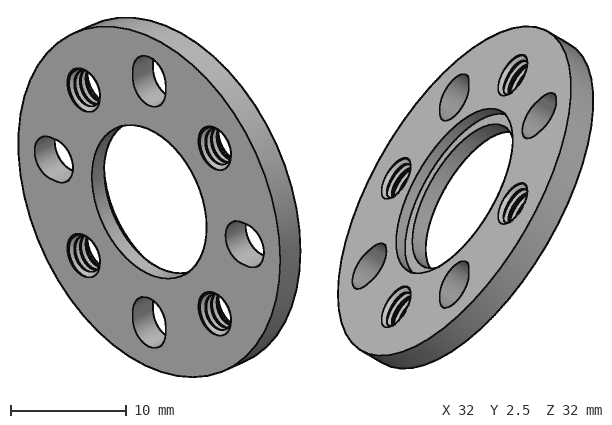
import cadquery as cq
import math

disc_diameter = 32.0
disc_thickness = 2.5
bore_diameter = 14.0

recess_diameter = 16.0
recess_depth = 1.0

thread_diameter = 4.0
thread_pitch = 0.7
thread_start = 0.1
tap_diameter = 3.24
crest_width = thread_pitch / 4
root_width = thread_pitch / 8
tap_square_side = 16.0

slot_width = 4.0
slot_inner_radius = tap_square_side / math.sqrt(2)
slot_outer_radius = 12.0
slot_count = 4


def make_disc():
    ring = cq.Workplane("XZ").circle(disc_diameter / 2).circle(bore_diameter / 2)
    return ring.extrude(-disc_thickness)


def make_recess():
    floor = cq.Workplane("XZ", origin=(0, disc_thickness - recess_depth, 0))
    return floor.circle(recess_diameter / 2).extrude(-recess_depth)


def make_slots():
    length = slot_outer_radius - slot_inner_radius + slot_width
    middle_radius = (slot_inner_radius + slot_outer_radius) / 2
    slots = cq.Workplane("XZ").polarArray(middle_radius, 0, 360, slot_count)
    return slots.slot2D(length, slot_width).extrude(-disc_thickness)


def make_helix_turn(radius, height):
    """One right-handed turn around Z, starting at the given height."""
    helix = cq.Wire.makeHelix(thread_pitch, thread_pitch, radius)
    return helix.translate(cq.Vector(0, 0, height))


def make_thread_turn(tooth, base):
    """Faces swept in one turn by the tooth outline, given as (radius, height) points."""
    helices = [make_helix_turn(radius, base + height) for radius, height in tooth]
    return [cq.Face.makeRuledSurface(low, high) for low, high in zip(helices, helices[1:])]


def make_end_ramp(radius, base):
    """Spiral ramp of one turn between the axis and a helix."""
    axis_edge = cq.Edge.makeLine(cq.Vector(0, 0, base), cq.Vector(0, 0, base + thread_pitch))
    axis_wire = cq.Wire.assembleEdges([axis_edge])
    return cq.Face.makeRuledSurface(axis_wire, make_helix_turn(radius, base))


def make_end_step(tooth, base):
    """Flat radial wall, one pitch high, from the axis out to the tooth outline."""
    outline = [cq.Vector(radius, 0, base + height) for radius, height in tooth]
    axis_points = [cq.Vector(0, 0, base + thread_pitch), cq.Vector(0, 0, base)]
    return cq.Face.makeFromWires(cq.Wire.makePolygon(outline + axis_points, close=True))


def make_threaded_rod():
    """Solid threaded rod along +Y that runs past both faces of the disc."""
    crest_radius = tap_diameter / 2
    root_radius = thread_diameter / 2
    flank_width = (thread_pitch - crest_width - root_width) / 2
    tooth = [
        (crest_radius, 0),
        (crest_radius, crest_width),
        (root_radius, crest_width + flank_width),
        (root_radius, crest_width + flank_width + root_width),
        (crest_radius, thread_pitch),
    ]
    extra_turns = 2
    turn_count = math.ceil(disc_thickness / thread_pitch) + extra_turns
    bottom = thread_start - thread_pitch
    top = bottom + turn_count * thread_pitch

    faces = [make_end_ramp(crest_radius, bottom), make_end_ramp(crest_radius, top)]
    for turn in range(turn_count):
        faces.extend(make_thread_turn(tooth, bottom + turn * thread_pitch))
    faces.append(make_end_step(tooth, bottom))
    faces.append(make_end_step(tooth, top - thread_pitch))
    rod = cq.Solid.makeSolid(cq.Shell.makeShell(faces))
    return cq.Workplane(obj=rod).rotate((0, 0, 0), (1, 0, 0), -90)


def make_countersink(y, direction):
    """45 degree cone that opens to the thread diameter at the face on the given y."""
    radius = thread_diameter / 2
    center = cq.Vector(0, y, 0)
    cone = cq.Solid.makeCone(radius, 0, radius, center, cq.Vector(0, direction, 0))
    return cq.Workplane(obj=cone)


result = make_disc().cut(make_recess()).cut(make_slots())

tap_features = [
    make_threaded_rod(),
    make_countersink(0, 1),
    make_countersink(disc_thickness, -1),
]
half_side = tap_square_side / 2
for hole_x in (-half_side, half_side):
    for hole_z in (-half_side, half_side):
        for feature in tap_features:
            result = result.cut(feature.translate((hole_x, 0, hole_z)))